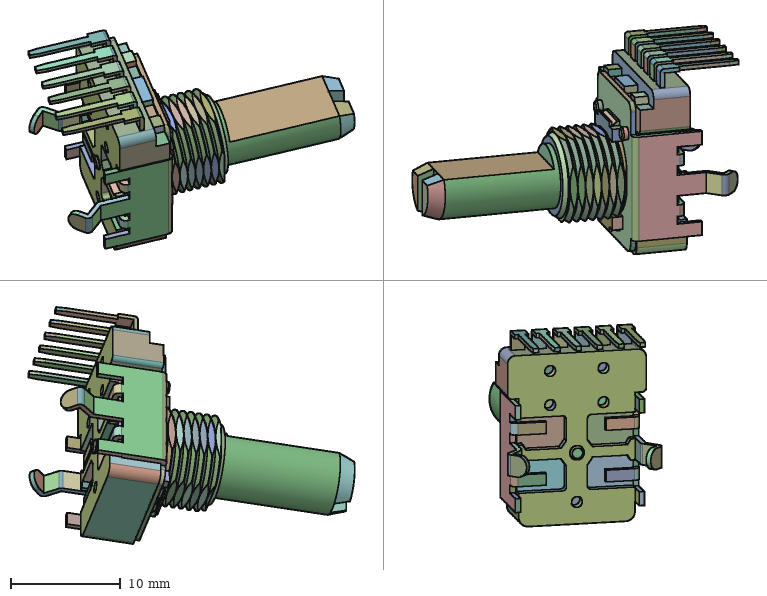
import cadquery as cq
import math


shaft_radius = 3.0
shaft_flat_height = 1.5
shaft_tip_y = 18.5
shaft_flat_end_y = 6.5
tip_length = 1.5
tip_inset = 0.52
slot_width = 1.38
slot_depth = 1.5

bushing_end_y = 6.0
flat_distance = 3.95
tip_end_radius = 3.67
thread_crest_radius = 4.45
root_below_flat = 0.02
thread_root_radius = flat_distance - root_below_flat
thread_crest_land = 0.06
thread_pitch = 0.75
thread_end_y = 5.55
thread_turns = 9
thread_rod_length = 12 * thread_pitch
thread_phase_y = -0.97

cover_thickness = 0.5
cover_half_width = 6.05
plate_half_width = 5.2
plate_top_z = 8.0
plate_bottom_z = -6.45
plate_top_radius = 0.8
plate_bottom_radius = 1.0
flange_half_height = 5.0
flange_end_y = -4.2
flange_bend_radius = 0.5

straight_tab_end_y = -6.55
straight_tab_inner_z = 3.7
clip_half_width = 1.0
folded_tab_z = 2.42
folded_tab_width = 1.1
folded_tab_end_x = 2.8
folded_tab_rear_y = -5.0
folded_tab_radius = 0.6

clip_knee_y = -6.957
clip_reach = 7.2
clip_elbow_x = clip_reach - cover_thickness
clip_elbow_y = -8.44
clip_tip_angle = 45
clip_tip_length = 1.75

body_front_y = -cover_thickness
body_rear_y = -5.3
body_half_width = 5.45
body_top_z = 9.4
body_bottom_z = -6.7
body_bottom_radius = 0.9
head_half_width = 6.5
head_bottom_z = 5.35
head_top_radius = 0.75
head_bottom_radius = 0.4

step_rear_y = -1.8
step_z = 7.75
ear_top_z = 8.45
ear_outer_base_x = 4.98
ear_outer_top_x = 4.83
ear_inner_x = 3.52
center_ear_half_width = 1.52

rear_hole_radius = 0.5
rear_hole_depth = 1.0
rear_hole_places = [(-2.5, 7.8), (2.5, 7.8), (-2.5, 4.6), (2.5, 4.6), (0, -4.63)]
pocket_floor_y = -4.5
pocket_inner_x = 0.98
pocket_outer_z = 3.52
pocket_inner_z = 0.49
pocket_corner_radius = 0.4
pocket_bevel_x = 1.49
pocket_bevel_z = 1.2
pocket_flare_x = 4.74
pocket_flare_end_x = 5.05
pivot_radius = 0.67
pivot_height = 0.25
pivot_chamfer = 0.18

lug_inner_z = 3.63
lug_shoulder_z = 4.85
lug_outer_z = 5.27
lug_half_width = 2.74
lug_height = 1.0
lug_crown_half_width = 1.83
lug_notch_low_y = 0.25
lug_notch_high_y = 0.8
rivet_radius = 0.6
rivet_height = 0.6
rivet_chamfer = 0.15
rivet_places = [(-4.03, 4.8), (4.03, 4.8), (0, -4.8)]

terminal_count = 6
terminal_pitch = 2.0
terminal_thickness = 0.4
terminal_top_z = 11.2
terminal_front_y = -2.7
terminal_wide = 1.3
terminal_narrow = 0.66
terminal_tip_width = 0.5
terminal_shoulder_y = -4.54
terminal_taper_y = -9.35
terminal_tip_y = -10.3
terminal_bend_radius = 0.35
terminal_embedment = 1.0
terminal_root_z = body_top_z - terminal_embedment


def xz_plane(y):
    """Plane at the given Y whose extrusions run toward -Y (local axes are X and Z)."""
    return cq.Workplane("XZ", origin=(0, y, 0))


def box(x_range, y_range, z_range):
    """Block between two limits along each axis."""
    (x0, x1), (y0, y1), (z0, z1) = x_range, y_range, z_range
    return cq.Workplane("XY").box(x1 - x0, y1 - y0, z1 - z0, centered=False).translate((x0, y0, z0))


def mirrored(solid, plane):
    """A solid together with its mirror image."""
    return solid.union(solid.mirror(plane))


def make_shaft():
    tip_start_y = shaft_tip_y - tip_length
    round_part = xz_plane(shaft_flat_end_y).circle(shaft_radius).extrude(shaft_flat_end_y - body_front_y)
    flat_half_width = math.sqrt(shaft_radius**2 - shaft_flat_height**2)

    def d_profile():
        return (
            xz_plane(tip_start_y)
            .moveTo(-flat_half_width, shaft_flat_height)
            .threePointArc((0, -shaft_radius), (flat_half_width, shaft_flat_height))
            .close()
        )

    flat_part = d_profile().extrude(tip_start_y - shaft_flat_end_y)
    tip_angle = math.degrees(math.atan2(tip_inset, tip_length))
    tip = d_profile().extrude(-tip_length, taper=tip_angle)
    slot = box(
        (-slot_width / 2, slot_width / 2),
        (shaft_tip_y - slot_depth, shaft_tip_y),
        (-shaft_radius, shaft_radius),
    )
    return round_part.union(flat_part).union(tip).cut(slot)


def make_bushing():
    rod_end_y = bushing_end_y + 2 * thread_pitch
    rod = xz_plane(rod_end_y).circle(thread_crest_radius).extrude(thread_rod_length)
    threaded_rod = rod.cut(make_thread_groove())
    square = xz_plane(thread_end_y).rect(2 * flat_distance, 2 * flat_distance)
    flats = square.extrude(thread_end_y - body_front_y)
    tip_length_y = bushing_end_y - thread_end_y
    tip_angle = math.degrees(math.atan2(flat_distance - tip_end_radius, tip_length_y))
    tip = xz_plane(thread_end_y).circle(flat_distance).extrude(-tip_length_y, taper=tip_angle)
    return threaded_rod.intersect(flats).union(tip)


def make_thread_groove():
    """V groove swept along a helix that is built along Z, then turned to run along Y."""
    depth = thread_crest_radius - thread_root_radius
    crest_half_opening = (thread_pitch - thread_crest_land) / 2
    overshoot = 0.05
    outer_radius = thread_crest_radius + overshoot * depth
    outer_half_opening = crest_half_opening * (1 + overshoot)
    helix = cq.Wire.makeHelix(thread_pitch, thread_turns * thread_pitch, thread_crest_radius)
    return (
        cq.Workplane("XZ")
        .polyline(
            [
                (thread_root_radius, 0),
                (outer_radius, -outer_half_opening),
                (outer_radius, outer_half_opening),
            ]
        )
        .close()
        .sweep(cq.Workplane(helix), isFrenet=True)
        .rotate((0, 0, 0), (1, 0, 0), -90)
        .translate((0, thread_phase_y, 0))
    )


def make_body():
    body_depth = body_front_y - body_rear_y
    trunk = (
        xz_plane(body_front_y)
        .moveTo(0, (body_top_z + body_bottom_z) / 2)
        .rect(2 * body_half_width, body_top_z - body_bottom_z)
        .extrude(body_depth)
        .edges("|Y and <Z")
        .fillet(body_bottom_radius)
    )
    head = (
        xz_plane(body_front_y)
        .moveTo(0, (body_top_z + head_bottom_z) / 2)
        .rect(2 * head_half_width, body_top_z - head_bottom_z)
        .extrude(body_depth)
        .edges("|Y and >Z")
        .fillet(head_top_radius)
        .edges("|Y and <Z")
        .fillet(head_bottom_radius)
    )
    body = trunk.edges("|Y and >Z").fillet(head_top_radius).union(head)
    step = box((-head_half_width, head_half_width), (step_rear_y, body_front_y), (step_z, body_top_z))
    ear = (
        xz_plane(body_front_y)
        .polyline(
            [
                (ear_outer_base_x, step_z),
                (ear_outer_top_x, ear_top_z),
                (ear_inner_x, ear_top_z),
                (ear_inner_x, step_z),
            ]
        )
        .close()
        .extrude(body_front_y - step_rear_y)
    )
    center_ear = box(
        (-center_ear_half_width, center_ear_half_width),
        (step_rear_y, body_front_y),
        (step_z, ear_top_z),
    )
    ears = mirrored(ear, "YZ").union(center_ear)
    hole_centers = xz_plane(body_rear_y).pushPoints(rear_hole_places)
    holes = hole_centers.circle(rear_hole_radius).extrude(-rear_hole_depth)
    pivot = (
        xz_plane(body_rear_y)
        .circle(pivot_radius)
        .extrude(pivot_height)
        .faces("<Y")
        .chamfer(pivot_chamfer)
    )
    return body.cut(step).union(ears).cut(make_pockets()).cut(holes).union(pivot)


def make_pockets():
    """Four recesses in the rear face, open toward the sides."""
    pocket = (
        xz_plane(pocket_floor_y)
        .moveTo(body_half_width, pocket_outer_z)
        .lineTo(pocket_inner_x + pocket_corner_radius, pocket_outer_z)
        .radiusArc((pocket_inner_x, pocket_outer_z - pocket_corner_radius), -pocket_corner_radius)
        .lineTo(pocket_inner_x, pocket_bevel_z)
        .lineTo(pocket_bevel_x, pocket_inner_z)
        .lineTo(pocket_flare_x, pocket_inner_z)
        .lineTo(pocket_flare_end_x, clip_half_width)
        .lineTo(body_half_width, clip_half_width)
        .close()
        .extrude(pocket_floor_y - body_rear_y)
    )
    return mirrored(mirrored(pocket, "YZ"), "XY")


def make_cover():
    plate = (
        xz_plane(0)
        .moveTo(0, (plate_top_z + plate_bottom_z) / 2)
        .rect(2 * plate_half_width, plate_top_z - plate_bottom_z)
        .extrude(cover_thickness)
        .edges("|Y and >Z")
        .fillet(plate_top_radius)
        .edges("|Y and <Z")
        .fillet(plate_bottom_radius)
    )
    flange_z = (-flange_half_height, flange_half_height)
    wrap = box((-cover_half_width, cover_half_width), (flange_end_y, 0), flange_z)
    wrap = wrap.edges("|Z and >Y").fillet(flange_bend_radius)
    inner_half_width = cover_half_width - cover_thickness
    inside = box((-body_half_width, body_half_width), (flange_end_y, -cover_thickness), flange_z)
    flanges = wrap.cut(inside)
    tab = box(
        (inner_half_width, cover_half_width),
        (straight_tab_end_y, flange_end_y),
        (straight_tab_inner_z, flange_half_height),
    )
    folded_tab = (
        box(
            (folded_tab_end_x, cover_half_width),
            (folded_tab_rear_y, flange_end_y),
            (folded_tab_z - folded_tab_width / 2, folded_tab_z + folded_tab_width / 2),
        )
        .edges("|Z and >X and <Y")
        .fillet(folded_tab_radius)
    )
    tabs = mirrored(tab.union(folded_tab), "XY").union(make_clip())
    return plate.union(flanges).union(mirrored(tabs, "YZ"))


def polar_offset(point, radius, angle):
    """Point at a distance and an angle in degrees from another point."""
    radians = math.radians(angle)
    return (point[0] + radius * math.cos(radians), point[1] + radius * math.sin(radians))


def make_clip():
    """Bent spring clip on the +X side, rounded at its tip."""
    knee = (cover_half_width, clip_knee_y)
    elbow = (clip_elbow_x, clip_elbow_y)
    run_x = elbow[0] - knee[0]
    run_y = knee[1] - elbow[1]
    run_angle = math.atan2(run_x, run_y) + math.asin(cover_thickness / math.hypot(run_x, run_y))
    lean = math.degrees(run_angle)
    knee_end = polar_offset(knee, cover_thickness, 180 + lean)
    knee_middle = polar_offset(knee, cover_thickness, 180 + lean / 2)
    elbow_start = polar_offset(elbow, cover_thickness, lean)
    elbow_middle = polar_offset(elbow, cover_thickness, (lean - clip_tip_angle) / 2)
    elbow_end = polar_offset(elbow, cover_thickness, -clip_tip_angle)
    inner = cover_half_width - cover_thickness
    strip = (
        cq.Workplane("XY", origin=(0, 0, -clip_half_width))
        .moveTo(inner, flange_end_y)
        .lineTo(inner, clip_knee_y)
        .threePointArc(knee_middle, knee_end)
        .lineTo(*elbow)
        .lineTo(*elbow_end)
        .threePointArc(elbow_middle, elbow_start)
        .lineTo(*knee)
        .lineTo(cover_half_width, flange_end_y)
        .close()
        .extrude(2 * clip_half_width)
    )
    outward = polar_offset((0, 0), 1, -clip_tip_angle)
    tip_plane = cq.Plane(
        origin=(*elbow, 0),
        xDir=(outward[1], -outward[0], 0),
        normal=(*outward, 0),
    )
    round_start = clip_tip_length - clip_half_width
    tip = (
        cq.Workplane(tip_plane)
        .moveTo(0, -clip_half_width)
        .lineTo(round_start, -clip_half_width)
        .threePointArc((clip_tip_length, 0), (round_start, clip_half_width))
        .lineTo(0, clip_half_width)
        .close()
        .extrude(cover_thickness)
    )
    return strip.union(tip)


def make_lugs():
    """Lugs above and below the bushing, each with a taller crown whose outer face slopes."""
    block = (
        xz_plane(lug_height)
        .polyline(
            [
                (-lug_half_width, lug_inner_z),
                (-lug_half_width, lug_shoulder_z),
                (-lug_crown_half_width, lug_shoulder_z),
                (-lug_crown_half_width, lug_outer_z),
                (lug_crown_half_width, lug_outer_z),
                (lug_crown_half_width, lug_shoulder_z),
                (lug_half_width, lug_shoulder_z),
                (lug_half_width, lug_inner_z),
            ]
        )
        .close()
        .extrude(lug_height)
    )
    notch = (
        cq.Workplane("YZ", origin=(-lug_crown_half_width, 0, 0))
        .polyline(
            [
                (lug_notch_low_y, lug_outer_z),
                (lug_notch_high_y, lug_shoulder_z),
                (lug_notch_high_y, lug_outer_z),
            ]
        )
        .close()
        .extrude(2 * lug_crown_half_width)
    )
    return mirrored(block.cut(notch), "XY")


def make_rivets():
    return (
        xz_plane(0)
        .pushPoints(rivet_places)
        .circle(rivet_radius)
        .extrude(-rivet_height)
        .faces(">Y")
        .chamfer(rivet_chamfer)
    )


def make_terminal():
    """Terminal at X = 0: a strip rising from the body and bent back into a pin."""
    bent_strip = (
        box(
            (-terminal_wide / 2, terminal_wide / 2),
            (terminal_tip_y, terminal_front_y),
            (terminal_root_z, terminal_top_z),
        )
        .edges("|X and >Y and >Z")
        .fillet(terminal_bend_radius)
        .cut(
            box(
                (-terminal_wide / 2, terminal_wide / 2),
                (terminal_tip_y, terminal_front_y - terminal_thickness),
                (terminal_root_z, terminal_top_z - terminal_thickness),
            )
        )
    )
    right_edge = [
        (terminal_wide / 2, terminal_front_y),
        (terminal_wide / 2, terminal_shoulder_y),
        (terminal_narrow / 2, terminal_shoulder_y),
        (terminal_narrow / 2, terminal_taper_y),
        (terminal_tip_width / 2, terminal_tip_y),
    ]
    left_edge = [(-x, y) for x, y in reversed(right_edge)]
    outline = cq.Workplane("XY").polyline(right_edge + left_edge).close().extrude(terminal_top_z)
    return bent_strip.intersect(outline)


def make_terminals():
    terminal = make_terminal()
    row = cq.Workplane("XY")
    for index in range(terminal_count):
        x = (index - (terminal_count - 1) / 2) * terminal_pitch
        row = row.add(terminal.translate((x, 0, 0)))
    return row.combine()


result = (
    make_body()
    .union(make_cover())
    .union(make_lugs())
    .union(make_rivets())
    .union(make_bushing())
    .union(make_shaft())
    .union(make_terminals())
)